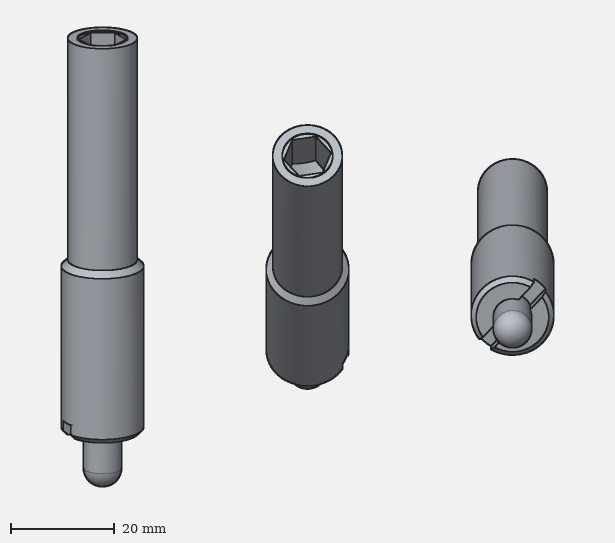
import cadquery as cq
import math

total_length = 91.0
body_diameter = 16.0
shank_diameter = 13.5
shank_length = 45.0
body_chamfer = 1.0
pin_diameter = 7.5
pin_projection = 11.0
pin_seat_depth = 10.0
slot_width = 3.0
slot_depth = 3.0
hex_across_flats = 8.0
hex_depth = 10.0
mouth_diameter = 9.7
mouth_depth = 0.3
drill_point_angle = 118.0

body_radius = body_diameter / 2
shank_radius = shank_diameter / 2
pin_radius = pin_diameter / 2
hex_corner_radius = hex_across_flats / math.sqrt(3)
shoulder_height = body_radius - shank_radius
top_z = total_length / 2
tip_z = -top_z
body_bottom_z = tip_z + pin_projection
pin_top_z = body_bottom_z + pin_seat_depth
shoulder_top_z = top_z - shank_length


def make_hex_socket():
    """Hexagonal cavity with a conical floor and a shallow counterbored mouth."""
    cone_height = hex_corner_radius / math.tan(math.radians(drill_point_angle / 2))
    floor_z = top_z - hex_depth
    apex_z = floor_z - cone_height

    hexagon = (
        cq.Workplane("XY", origin=(0, 0, apex_z))
        .polygon(6, 2 * hex_corner_radius)
        .extrude(top_z - apex_z)
    )
    pointed_bore = (
        cq.Workplane("XZ")
        .moveTo(0, apex_z)
        .lineTo(hex_corner_radius, floor_z)
        .lineTo(hex_corner_radius, top_z)
        .lineTo(0, top_z)
        .close()
        .revolve(360, (0, 0, 0), (0, 1, 0))
    )
    mouth = (
        cq.Workplane("XY", origin=(0, 0, top_z - mouth_depth))
        .circle(mouth_diameter / 2)
        .extrude(mouth_depth)
    )
    return hexagon.intersect(pointed_bore).union(mouth)


def make_housing():
    """Stepped cylinder with a hex socket on top and a slotted pin seat below."""
    stepped = (
        cq.Workplane("XZ")
        .moveTo(0, body_bottom_z)
        .lineTo(body_radius - body_chamfer, body_bottom_z)
        .lineTo(body_radius, body_bottom_z + body_chamfer)
        .lineTo(body_radius, shoulder_top_z - shoulder_height)
        .lineTo(shank_radius, shoulder_top_z)
        .lineTo(shank_radius, top_z)
        .lineTo(0, top_z)
        .close()
        .revolve(360, (0, 0, 0), (0, 1, 0))
    )
    seat = (
        cq.Workplane("XY", origin=(0, 0, body_bottom_z))
        .circle(pin_radius)
        .extrude(pin_seat_depth)
    )
    slot = (
        cq.Workplane("XY", origin=(0, 0, body_bottom_z))
        .rect(slot_width, body_diameter)
        .extrude(slot_depth)
    )
    return stepped.cut(seat).cut(slot).cut(make_hex_socket())


def make_pin():
    """Round pin with a hemispherical tip."""
    dome_z = tip_z + pin_radius
    arc_offset = pin_radius * math.sqrt(0.5)
    return (
        cq.Workplane("XZ")
        .moveTo(0, tip_z)
        .threePointArc((arc_offset, dome_z - arc_offset), (pin_radius, dome_z))
        .lineTo(pin_radius, pin_top_z)
        .lineTo(0, pin_top_z)
        .close()
        .revolve(360, (0, 0, 0), (0, 1, 0))
    )


housing = make_housing()
pin = make_pin()
result = cq.Compound.makeCompound([housing.val(), pin.val()])